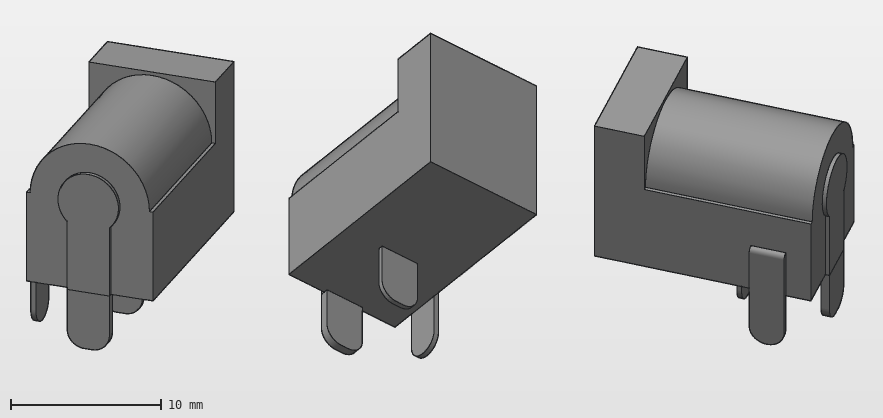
import cadquery as cq

body_width = 9.0
body_length = 15.2
body_height = 11.0
flange_length = 3.5
barrel_radius = 4.25
barrel_axis_z = 6.51

overall_length = 15.5
plate_thickness = overall_length - body_length
plate_head_radius = 2.15
pin_width = 3.0

overall_height = 15.15
pin_drop = overall_height - body_height
pin_corner_radius = 1.22
front_pin_thickness = 0.6
middle_pin_thickness = 0.34
middle_pin_front_y = 5.87

overall_width = 9.38
side_thickness = overall_width - body_width
side_width = 2.45
side_height_on_body = 3.65
side_front_y = 1.77
side_top_radius = 0.35


def box(width, length, height, front_y, bottom_z=0):
    """Block centred in X, starting at front_y and bottom_z."""
    return (
        cq.Workplane("XY", origin=(0, front_y, bottom_z))
        .rect(width, length)
        .extrude(height)
        .translate((0, length / 2, 0))
    )


def disc(radius, length, front_y):
    """Cylinder along Y on the barrel axis, starting at front_y."""
    return cq.Workplane("XZ", origin=(0, front_y, barrel_axis_z)).circle(radius).extrude(-length)


def make_housing():
    base = box(body_width, body_length, barrel_axis_z, 0)
    barrel = disc(barrel_radius, body_length, 0)
    flange = box(body_width, flange_length, body_height, body_length - flange_length)
    return base.union(barrel).union(flange)


def make_contact_plate():
    head = disc(plate_head_radius, plate_thickness, -plate_thickness)
    stem = box(pin_width, plate_thickness, barrel_axis_z, -plate_thickness)
    return head.union(stem)


def make_pin(thickness, front_y):
    """Flat pin under the housing with rounded lower corners."""
    pin = box(pin_width, thickness, pin_drop, front_y, -pin_drop)
    return pin.edges("|Y and <Z").fillet(pin_corner_radius)


def make_side_contact():
    """Strip on the -X wall with a semicircular lower end and a rounded outer top edge."""
    wall_x = -body_width / 2
    end_radius = side_width / 2
    arc_z = end_radius - pin_drop
    back_y = side_front_y + side_width
    strip = (
        cq.Workplane("YZ", origin=(wall_x, 0, 0))
        .moveTo(side_front_y, side_height_on_body)
        .lineTo(side_front_y, arc_z)
        .threePointArc((side_front_y + end_radius, -pin_drop), (back_y, arc_z))
        .lineTo(back_y, side_height_on_body)
        .close()
        .extrude(-side_thickness)
    )
    return strip.faces(">Z").edges("<X").fillet(side_top_radius)


housing = make_housing()
contact_plate = make_contact_plate()
side_contact = make_side_contact()
pin_places = [
    (front_pin_thickness, -plate_thickness),
    (middle_pin_thickness, middle_pin_front_y),
]
pins = [make_pin(thickness, front_y).val() for thickness, front_y in pin_places]

result = cq.Compound.makeCompound([housing.val(), contact_plate.val(), side_contact.val(), *pins])